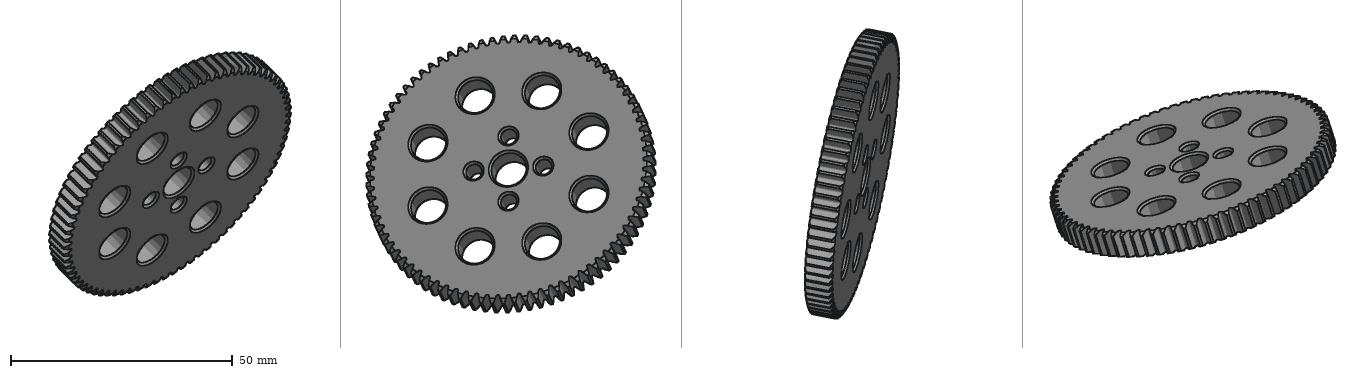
import cadquery as cq
import math


gear_span = 65.6
face_width = 6.35
tooth_count = 80
pressure_angle = math.radians(20)
addendum_factor = 1.0
backlash = 0.05
flank_depth_factor = 1.0

root_steps = 3
flank_steps = 4

rim_chamfer_axial = 0.5
rim_chamfer_radial = 1.05

large_hole_diameter = 8.0
small_hole_diameter = 3.7
hole_chamfer = 0.5
small_hole_circle_radius = 8.0
small_hole_count = 4
large_hole_circle_radius = 20.0
large_hole_count = 8


def involute(angle):
    """Polar angle swept by an involute at the given local pressure angle."""
    return math.tan(angle) - angle


tooth_pitch = 2 * math.pi / tooth_count
backlash_half_angle = backlash / gear_span
tip_pressure_angle = math.acos(
    tooth_count * math.cos(pressure_angle) / (tooth_count + 2 * addendum_factor)
)
pitch_gap_half_angle = tooth_pitch / 4 + backlash_half_angle
tip_gap_half_angle = pitch_gap_half_angle + involute(tip_pressure_angle) - involute(pressure_angle)
tip_radius = gear_span / 2 / math.cos(tip_gap_half_angle)
module = 2 * tip_radius / (tooth_count + 2 * addendum_factor)
pitch_radius = module * tooth_count / 2
base_radius = pitch_radius * math.cos(pressure_angle)
flank_start_radius = pitch_radius - flank_depth_factor * module


def gap_half_angle(radius):
    """Half the angle of the gap between neighbouring teeth at a radius."""
    local_angle = math.acos(base_radius / radius)
    return pitch_gap_half_angle + involute(local_angle) - involute(pressure_angle)


def polar(radius, angle):
    """The (y, z) point at a radius and angle about the gear axis."""
    return (radius * math.cos(angle), radius * math.sin(angle))


def half_gap_curve():
    """Points from the bottom of the gap on the +Y axis, round its root and up one flank to the tip."""
    start_angle = gap_half_angle(flank_start_radius)
    start_y, start_z = polar(flank_start_radius, start_angle)
    slope = start_angle + math.acos(base_radius / flank_start_radius)
    root_arc_radius = start_z / math.cos(slope)
    root_center_y = start_y + start_z * math.tan(slope)
    root_sweep = math.pi / 2 - slope
    points = []
    for step in range(root_steps):
        y, z = polar(root_arc_radius, math.pi - root_sweep * step / root_steps)
        points.append((root_center_y + y, z))
    for step in range(flank_steps + 1):
        radius = flank_start_radius + (tip_radius - flank_start_radius) * step / flank_steps
        points.append(polar(radius, gap_half_angle(radius)))
    return points


def turn(point, angle):
    """Rotate a (y, z) point about the gear axis."""
    y, z = point
    return (
        y * math.cos(angle) - z * math.sin(angle),
        y * math.sin(angle) + z * math.cos(angle),
    )


def gear_outline():
    """Closed outline with each gap as one smooth curve from tip to tip, flanks and root together."""
    rising_half = half_gap_curve()
    falling_half = [(y, -z) for y, z in reversed(rising_half[1:])]
    gap_curve = falling_half + rising_half

    outline = cq.Workplane("YZ", origin=(-face_width / 2, 0, 0))
    outline = outline.moveTo(*polar(tip_radius, -tip_gap_half_angle))
    for index in range(tooth_count):
        gap = index * tooth_pitch
        tooth = gap + tooth_pitch / 2
        next_gap = gap + tooth_pitch
        curve = [turn(point, gap) for point in gap_curve]
        outline = (
            outline
            .spline(curve[1:], includeCurrent=True)
            .threePointArc(polar(tip_radius, tooth), polar(tip_radius, next_gap - tip_gap_half_angle))
        )
    return outline.close()


def rim_envelope():
    """Round blank that bevels both ends of every tooth."""
    half_width = face_width / 2
    shoulder = half_width - rim_chamfer_axial
    face_radius = tip_radius - rim_chamfer_radial
    section = cq.Workplane("XY").polyline([
        (-half_width, 0),
        (-half_width, face_radius),
        (-shoulder, tip_radius),
        (shoulder, tip_radius),
        (half_width, face_radius),
        (half_width, 0),
    ]).close()
    return section.revolve(360, (0, 0, 0), (1, 0, 0))


def chamfered_hole(diameter, center):
    """Cutter for a through hole countersunk at both faces."""
    half_width = face_width / 2
    radius = diameter / 2
    y, z = center
    section = cq.Workplane("XY").polyline([
        (-half_width, 0),
        (-half_width, radius + hole_chamfer),
        (-half_width + hole_chamfer, radius),
        (half_width - hole_chamfer, radius),
        (half_width, radius + hole_chamfer),
        (half_width, 0),
    ]).close()
    return section.revolve(360, (0, 0, 0), (1, 0, 0)).translate((0, y, z))


def cut_hole_ring(body, diameter, circle_radius, count, start_angle):
    """Cut evenly spaced chamfered holes on a circle about the gear axis."""
    for index in range(count):
        center = polar(circle_radius, start_angle + index * 2 * math.pi / count)
        body = body.cut(chamfered_hole(diameter, center))
    return body


gear = gear_outline().extrude(face_width).intersect(rim_envelope())
gear = gear.cut(chamfered_hole(large_hole_diameter, (0, 0)))
gear = cut_hole_ring(gear, small_hole_diameter, small_hole_circle_radius, small_hole_count, 0)
large_hole_start = math.pi / large_hole_count
result = cut_hole_ring(
    gear, large_hole_diameter, large_hole_circle_radius, large_hole_count, large_hole_start
)